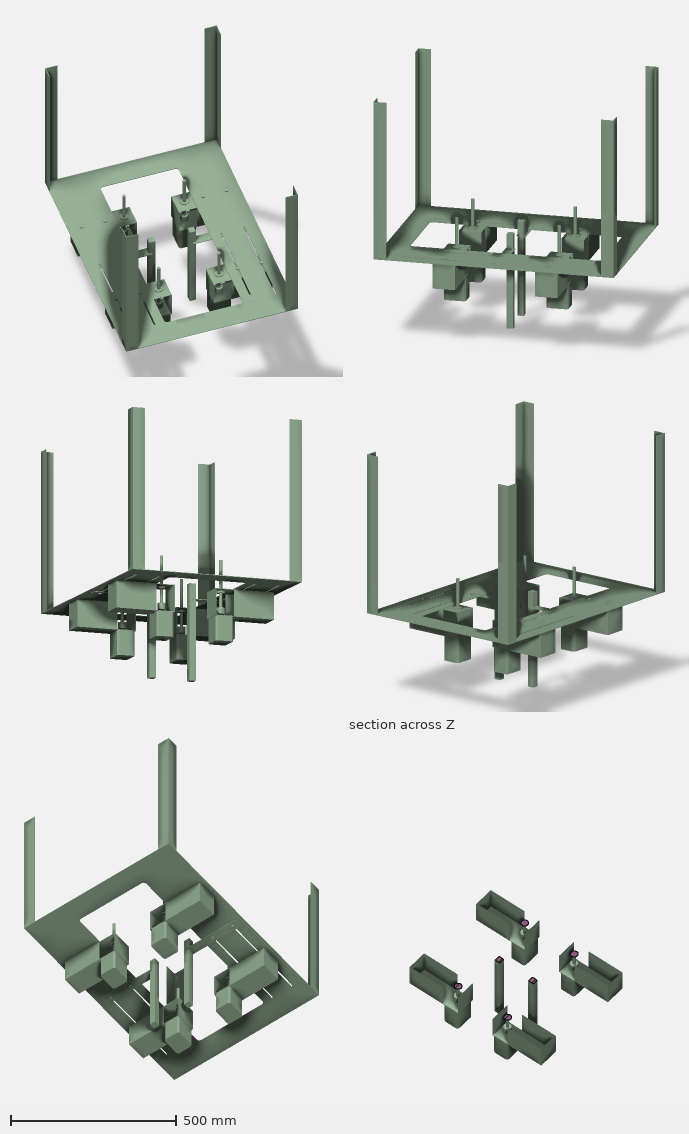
import cadquery as cq

plate_length = 750
plate_width = 550
plate_thickness = 2
window_length = 600
window_width = 250
window_radius = 10

post_height = 500
post_leg = 40
post_thickness = 2

slot_length = window_length / 2
slot_width = 5

outer_end = 256.5
screw_margin = 24.5
screw_spacing = 75
screw_rows = (outer_end - screw_margin - screw_spacing, outer_end - screw_margin)
screw_head_diameter = 10
screw_head_height = 4

bracket_x = 160
bracket_width = 70
bracket_length = 190
bracket_inner_end = outer_end - bracket_length
bracket_height = 84
bracket_wall = 2
bracket_opening = 57.5

motor_length_x = 69
motor_length_y = 56
motor_height = 77
motor_chamfer = 5.5
drive_y = bracket_inner_end + bracket_wall + motor_length_y / 2
shaft_diameter = 6.35
coupling_diameter = 25
coupling_height = 20
coupling_top = -53
rod_diameter = 10
rod_top = 94
bearing_diameter = 25
bearing_height = 12
bearing_top = 3.5

rail_side = 20
rail_length = 300
rail_top = 48
arm_inner_end = 65
arm_width = 30
arm_thickness = 2


def block(x_range, y_range, z_range):
    """Box spanning the given ranges along X, Y and Z."""
    sizes = [high - low for low, high in (x_range, y_range, z_range)]
    corner = (x_range[0], y_range[0], z_range[0])
    return cq.Workplane("XY").box(*sizes, centered=False).translate(corner)


def upright(diameter, x, y, bottom, top):
    """Vertical cylinder between two heights."""
    base = cq.Workplane("XY", origin=(x, y, bottom))
    return base.circle(diameter / 2).extrude(top - bottom)


def make_slot(y):
    """Cutter for one slot, whose two ends bulge inward as half circles."""
    half = slot_width / 2
    outline = (
        cq.Workplane("XY")
        .moveTo(0, y - half)
        .lineTo(slot_length, y - half)
        .threePointArc((slot_length - half, y), (slot_length, y + half))
        .lineTo(0, y + half)
        .threePointArc((half, y), (0, y - half))
        .close()
    )
    return outline.extrude(plate_thickness)


def make_plate():
    """Sheet with a rounded central window and four slots running in +X from the middle."""
    plate = cq.Workplane("XY").rect(plate_length, plate_width).extrude(plate_thickness)
    window = cq.Workplane("XY").rect(window_length, window_width).extrude(plate_thickness)
    plate = plate.cut(window.edges("|Z").fillet(window_radius))
    for side in (-1, 1):
        for row in screw_rows:
            plate = plate.cut(make_slot(side * row))
    return plate


def make_post(side_x, side_y):
    """Angle profile with its outer corner flush with a plate corner."""
    profile = [
        (0, 0),
        (post_leg, 0),
        (post_leg, post_thickness),
        (post_thickness, post_thickness),
        (post_thickness, post_leg),
        (0, post_leg),
    ]
    points = [
        (side_x * (plate_length / 2 - x), side_y * (plate_width / 2 - y))
        for x, y in profile
    ]
    return cq.Workplane("XY").polyline(points).close().extrude(post_height)


def make_bracket(x):
    """Hollow box under the plate, open on both X sides next to its inner end wall."""
    half = bracket_width / 2
    cavity_half = half - bracket_wall
    cavity_y = bracket_inner_end + bracket_wall
    cavity_z = (-bracket_height + bracket_wall, -bracket_wall)
    box = block((x - half, x + half), (bracket_inner_end, outer_end), (-bracket_height, 0))
    cavity = block((x - cavity_half, x + cavity_half), (cavity_y, outer_end - bracket_wall), cavity_z)
    opening = block((x - half, x + half), (cavity_y, cavity_y + bracket_opening), cavity_z)
    return box.cut(cavity).cut(opening)


def make_drive(x):
    """Motor below the bracket floor and the drive line rising through the bracket top."""
    motor_base = cq.Workplane("XY", origin=(x, drive_y, -bracket_height - motor_height))
    motor = motor_base.rect(motor_length_x, motor_length_y).extrude(motor_height)
    motor = motor.edges("|Z").chamfer(motor_chamfer)
    coupling_bottom = coupling_top - coupling_height
    shaft = upright(shaft_diameter, x, drive_y, -bracket_height, coupling_bottom)
    coupling = upright(coupling_diameter, x, drive_y, coupling_bottom, coupling_top)
    rod = upright(rod_diameter, x, drive_y, coupling_top, rod_top)
    bearing = upright(bearing_diameter, x, drive_y, bearing_top - bearing_height, bearing_top)
    return motor.union(shaft).union(coupling).union(rod).union(bearing)


def make_screw_heads(x, bottom):
    """Pair of screw heads, one on each screw row."""
    near_row, far_row = screw_rows
    top = bottom + screw_head_height
    near_head = upright(screw_head_diameter, x, near_row, bottom, top)
    far_head = upright(screw_head_diameter, x, far_row, bottom, top)
    return near_head.add(far_head).combine()


def make_guide():
    """Square rail on the inner end of a flat arm, with the arm's screw heads underneath."""
    half = rail_side / 2
    rail_y = (arm_inner_end - half, arm_inner_end + half)
    rail = block((-half, half), rail_y, (rail_top - rail_length, rail_top))
    arm = block((-arm_width / 2, arm_width / 2), (arm_inner_end, outer_end), (-arm_thickness, 0))
    heads = make_screw_heads(0, -arm_thickness - screw_head_height)
    return rail.union(arm).union(heads)


def make_hangers():
    """Everything mounted on the +Y half of the plate."""
    hangers = make_guide()
    for x in (-bracket_x, bracket_x):
        hangers = hangers.union(make_bracket(x)).union(make_drive(x))
        hangers = hangers.union(make_screw_heads(x, plate_thickness))
    return hangers


result = make_plate()
for side_x in (-1, 1):
    for side_y in (-1, 1):
        result = result.union(make_post(side_x, side_y))

hangers = make_hangers()
result = result.union(hangers).union(hangers.mirror("XZ"))